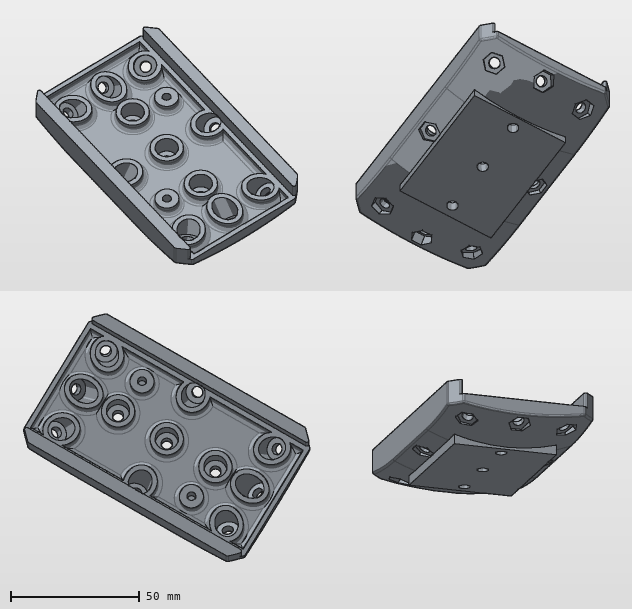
import cadquery as cq
import math

LENGTH = 100.0
WIDTH = 60.0
HEIGHT = 19.0
CORNER_CHAMFER = 5.0
CORNER_ROUND = 1.2
BOTTOM_EDGE_ROUND = 1.0
PAD_LENGTH = 54.0
PAD_WIDTH = 42.0

FLAT_HALF_LENGTH = 20.0
CROWN_BOTTOM = 0.5
CROWN_RISE = 6.5
CORNER_RISE = 3.4

RIM_TOP = 13.0
RAIL_WIDTH = 5.0
RAIL_TIP_ROUND = 0.8
RIM_WIDTH = 2.0
TRAY_DEPTH = 3.5
TRAY_ROUND = 2.0
TRAY_FLOOR = RIM_TOP - TRAY_DEPTH
TRAY_LENGTH = LENGTH - 2 * RIM_WIDTH
TRAY_WIDTH = WIDTH - 2 * (RAIL_WIDTH + RIM_WIDTH)

COUNTERBORE_RADIUS = 4.5
BOSS_WALL = 2.0
BOSS_RADIUS = COUNTERBORE_RADIUS + BOSS_WALL
SCREW_RADIUS = 2.2
UPRIGHT_SPACING = 22.0
UPRIGHT_SHELF_DEPTH = 8.0
NUT_ACROSS_CORNERS = 8.8

SIDE_BOSS_Y = 20.3
SIDE_TILT = 28.0
SIDE_SHELF_DEPTH = 6.5
SIDE_NUT_DEPTH = 7.9
END_BOSS_X = 37.5
END_TILT = 40.0
END_SHELF_DEPTH = 5.4
END_NUT_DEPTH = 8.1
CORNER_BOSS_X = 37.3
CORNER_BOSS_Y = 17.5
CORNER_TILT = 32.0
CORNER_SHELF_DEPTH = 3.7
CORNER_NUT_DEPTH = 6.6
CORNER_NUT_TURN = 30.0

PILOT_BOSS_RADIUS = 4.7
PILOT_RADIUS = 1.7
PILOT_DEPTH = 6.0
PILOT_TIP = 1.0
PILOT_X = 20.0
PILOT_Y = 15.0

REACH = 30.0


def block(length, width, bottom, top):
    box = cq.Workplane("XY").box(length, width, top - bottom, centered=(True, True, False))
    return box.translate((0, 0, bottom))


def crown_section(loft, flat_z, end_z):
    """Cross-section of the body: flat middle, curved ends, flat top."""
    half = LENGTH / 2
    mid_x = (half + FLAT_HALF_LENGTH) / 2
    mid_z = flat_z + (end_z - flat_z) / 4
    return (
        loft.moveTo(-half, RIM_TOP)
        .lineTo(-half, end_z)
        .threePointArc((-mid_x, mid_z), (-FLAT_HALF_LENGTH, flat_z))
        .lineTo(FLAT_HALF_LENGTH, flat_z)
        .threePointArc((mid_x, mid_z), (half, end_z))
        .lineTo(half, RIM_TOP)
        .close()
    )


def make_base():
    side_z = CROWN_BOTTOM + CROWN_RISE
    loft = crown_section(cq.Workplane("XZ", origin=(0, WIDTH / 2, 0)), side_z, side_z + CORNER_RISE)
    loft = crown_section(loft.workplane(offset=WIDTH / 2), CROWN_BOTTOM, side_z)
    loft = crown_section(loft.workplane(offset=WIDTH / 2), side_z, side_z + CORNER_RISE)
    crowned = loft.loft(combine=True)
    outline = block(LENGTH, WIDTH, 0, RIM_TOP).edges("|Z").chamfer(CORNER_CHAMFER)
    outline = outline.edges("|Z").fillet(CORNER_ROUND)
    base = crowned.intersect(outline)
    rim_edges = base.faces("#Z").edges("not |Z").edges("not(>Z)")
    base = rim_edges.fillet(BOTTOM_EDGE_ROUND)
    return base.union(block(PAD_LENGTH, PAD_WIDTH, 0, TRAY_FLOOR - TRAY_ROUND))


def make_rail(side):
    half = LENGTH / 2
    outer = WIDTH / 2
    inner = outer - RAIL_WIDTH
    tip = half - CORNER_CHAMFER
    rail = (
        cq.Workplane("XY", origin=(0, 0, RIM_TOP))
        .polyline([(-half, side * inner), (half, side * inner), (tip, side * outer), (-tip, side * outer)])
        .close()
        .extrude(HEIGHT - RIM_TOP)
    )
    tips = "<Y" if side > 0 else ">Y"
    backs = ">Y" if side > 0 else "<Y"
    rail = rail.edges("|Z").edges(tips).fillet(RAIL_TIP_ROUND)
    return rail.edges("|Z").edges(backs).fillet(CORNER_ROUND)


def axis_plane(x, y, tilt=0.0, lean_towards=(1, 0)):
    """Plane at the rim level whose normal points up the screw axis; the axis leans away going down."""
    lean = math.radians(tilt)
    heading = math.atan2(lean_towards[1], lean_towards[0])
    outward = (math.cos(heading), math.sin(heading), 0)
    normal = (-math.sin(lean) * outward[0], -math.sin(lean) * outward[1], math.cos(lean))
    across = (-outward[1], outward[0], 0)
    return cq.Plane(origin=(x, y, RIM_TOP), xDir=across, normal=normal)


def cylinder(plane, radius, start, end):
    return cq.Workplane(plane).workplane(offset=start).circle(radius).extrude(end - start)


def make_tray_pocket():
    pocket = block(TRAY_LENGTH, TRAY_WIDTH, TRAY_FLOOR, RIM_TOP)
    return pocket.faces("<Z").edges().fillet(TRAY_ROUND)


def make_boss(x, y, radius, stretch=0.0, heading=(1, 0)):
    """Upright round boss, or an oval one stretched along its heading, flaring into the tray floor."""
    angle = math.degrees(math.atan2(heading[1], heading[0]))
    ground = block(2 * LENGTH, 2 * LENGTH, 0, TRAY_FLOOR)
    post = cq.Workplane("XY", origin=(x, y, TRAY_FLOOR)).transformed(rotate=(0, 0, angle))
    if stretch:
        post = post.ellipse(radius + stretch, radius).extrude(TRAY_DEPTH)
    else:
        post = post.circle(radius).extrude(TRAY_DEPTH)
    foot = cq.selectors.BoxSelector(
        (-LENGTH / 2, -LENGTH / 2, TRAY_FLOOR - 0.1), (LENGTH / 2, LENGTH / 2, TRAY_FLOOR + 0.1), boundingbox=True
    )
    flared = ground.union(post).edges(foot).fillet(TRAY_ROUND)
    return flared.intersect(block(2 * LENGTH, 2 * LENGTH, TRAY_FLOOR, RIM_TOP))


def make_screw_hole(plane, shelf_depth):
    """Screw hole through the part, with a counterbore down to the shelf."""
    counterbore = cylinder(plane, COUNTERBORE_RADIUS, -shelf_depth, REACH)
    return counterbore.union(cylinder(plane, SCREW_RADIUS, -REACH, 0))


def make_nut_pocket(plane, depth, turn):
    """Hexagon open to the underside, starting at the given depth along the screw axis."""
    start = cq.Workplane(plane).workplane(offset=-depth).transformed(rotate=(0, 0, turn))
    return start.polygon(6, NUT_ACROSS_CORNERS).extrude(-REACH)


def make_pilot_hole(plane):
    """Blind hole with a conical tip."""
    bore = cylinder(plane, PILOT_RADIUS, -PILOT_DEPTH, 0)
    tip = cq.Solid.makeCone(PILOT_RADIUS, 0, PILOT_TIP, plane.origin - plane.zDir * PILOT_DEPTH, -plane.zDir)
    return bore.union(cq.Workplane(tip))


tilted_screws = []
for sign in (-1, 1):
    place = (0, sign * SIDE_BOSS_Y)
    tilted_screws.append((place, SIDE_TILT, (0, sign), SIDE_SHELF_DEPTH, SIDE_NUT_DEPTH, 0))
    place = (sign * END_BOSS_X, 0)
    tilted_screws.append((place, END_TILT, (sign, 0), END_SHELF_DEPTH, END_NUT_DEPTH, 0))
    for side in (-1, 1):
        place = (sign * CORNER_BOSS_X, side * CORNER_BOSS_Y)
        lean = (sign, side)
        tilted_screws.append((place, CORNER_TILT, lean, CORNER_SHELF_DEPTH, CORNER_NUT_DEPTH, CORNER_NUT_TURN))
upright_places = [(x, 0) for x in (-UPRIGHT_SPACING, 0, UPRIGHT_SPACING)]
pilot_places = [(-PILOT_X, PILOT_Y), (PILOT_X, -PILOT_Y)]

hollow = make_tray_pocket()
for place in upright_places:
    hollow = hollow.cut(make_boss(*place, BOSS_RADIUS))
for place in pilot_places:
    hollow = hollow.cut(make_boss(*place, PILOT_BOSS_RADIUS))
for place, tilt, lean, *_ in tilted_screws:
    stretch = COUNTERBORE_RADIUS / math.cos(math.radians(tilt)) - COUNTERBORE_RADIUS
    hollow = hollow.cut(make_boss(*place, BOSS_RADIUS, stretch, lean))

holes = cq.Workplane("XY")
for place in upright_places:
    holes.add(make_screw_hole(axis_plane(*place), UPRIGHT_SHELF_DEPTH))
for place in pilot_places:
    holes.add(make_pilot_hole(axis_plane(*place)))
for place, tilt, lean, shelf_depth, nut_depth, nut_turn in tilted_screws:
    axis = axis_plane(*place, tilt, lean)
    holes.add(make_screw_hole(axis, shelf_depth).union(make_nut_pocket(axis, nut_depth, nut_turn)))

body = make_base().cut(hollow)
body = body.cut(cq.Workplane(cq.Compound.makeCompound(holes.vals())))
result = body.union(make_rail(-1)).union(make_rail(1))